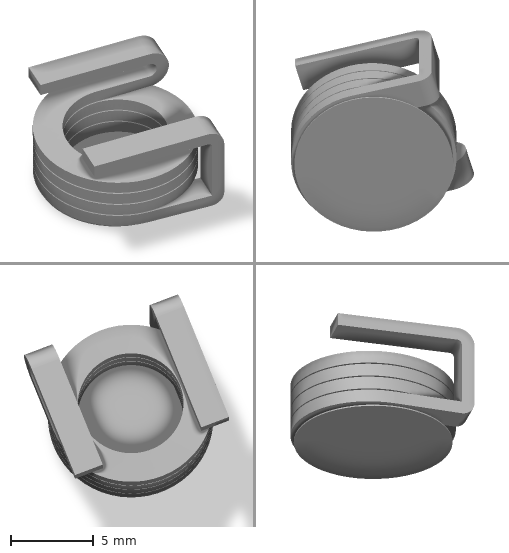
import cadquery as cq
import math

outer_radius = 5.0
wire_width = 1.8
wire_thickness = 0.8
pitch = 0.88
turns = 3.5
coil_start = 0.16

disc_diameter = 9.6
disc_thickness = 0.08

total_height = 5.82
terminal_end_y = -3.55
return_bend_y = 4.9
upper_bend_radius = 1.1
lower_bend_radius = 0.8

inner_radius = outer_radius - wire_width
mean_radius = outer_radius - wire_width / 2
coil_finish = coil_start + turns * pitch
terminal_underside = total_height - wire_thickness


def extruded_wire(outline, inner_x):
    """Give a YZ outline the wire width, starting at the given X."""
    return outline.close().extrude(wire_width).translate((inner_x, 0, 0))


def make_disc():
    return cq.Workplane("XY").circle(disc_diameter / 2).extrude(disc_thickness)


def make_coil():
    """Left-handed coil rising from +X, through -Y, to its finish at -X."""
    helix = cq.Wire.makeHelix(pitch, turns * pitch, mean_radius, lefthand=True)
    coil = (
        cq.Workplane("XZ")
        .center(mean_radius, wire_thickness / 2)
        .rect(wire_width, wire_thickness)
        .sweep(cq.Workplane(helix), isFrenet=True)
    )
    return coil.translate((0, 0, coil_start))


def make_return_terminal():
    """Wire leaving the coil top at -X and folding back over itself in a U."""
    bend_radius = (total_height - coil_finish) / 2
    bend_inner_radius = bend_radius - wire_thickness
    bend_y = return_bend_y - bend_radius
    bend_z = coil_finish + bend_radius
    outline = (
        cq.Workplane("YZ")
        .moveTo(0, coil_finish)
        .lineTo(bend_y, coil_finish)
        .threePointArc((return_bend_y, bend_z), (bend_y, total_height))
        .lineTo(terminal_end_y, total_height)
        .lineTo(terminal_end_y, terminal_underside)
        .lineTo(bend_y, terminal_underside)
        .threePointArc((bend_y + bend_inner_radius, bend_z), (bend_y, coil_finish + wire_thickness))
        .lineTo(0, coil_finish + wire_thickness)
    )
    return extruded_wire(outline, -outer_radius)


def make_upright_terminal():
    """Wire leaving the coil bottom at +X, rising in a leg and bending over the top."""
    slope = pitch / (2 * math.pi * outer_radius)
    leg_y = outer_radius
    leg_inner_y = leg_y - wire_thickness
    inner_bend_radius = upper_bend_radius - wire_thickness
    upper_bend_y = leg_y - upper_bend_radius
    upper_bend_z = total_height - upper_bend_radius
    lower_bend_y = leg_y - lower_bend_radius
    foot_z = coil_start - slope * lower_bend_y
    inner_corner_z = coil_start + wire_thickness - slope * leg_inner_y
    diagonal = math.sqrt(0.5)

    outline = (
        cq.Workplane("YZ")
        .moveTo(0, coil_start)
        .lineTo(lower_bend_y, foot_z)
        .threePointArc(
            (
                lower_bend_y + lower_bend_radius * diagonal,
                foot_z + lower_bend_radius * (1 - diagonal),
            ),
            (leg_y, foot_z + lower_bend_radius),
        )
        .lineTo(leg_y, upper_bend_z)
        .threePointArc(
            (
                upper_bend_y + upper_bend_radius * diagonal,
                upper_bend_z + upper_bend_radius * diagonal,
            ),
            (upper_bend_y, total_height),
        )
        .lineTo(terminal_end_y, total_height)
        .lineTo(terminal_end_y, terminal_underside)
        .lineTo(upper_bend_y, terminal_underside)
        .threePointArc(
            (
                upper_bend_y + inner_bend_radius * diagonal,
                upper_bend_z + inner_bend_radius * diagonal,
            ),
            (leg_inner_y, upper_bend_z),
        )
        .lineTo(leg_inner_y, inner_corner_z)
        .lineTo(0, coil_start + wire_thickness)
    )
    return extruded_wire(outline, inner_radius)


result = (
    make_coil()
    .union(make_return_terminal())
    .union(make_upright_terminal())
    .union(make_disc())
)